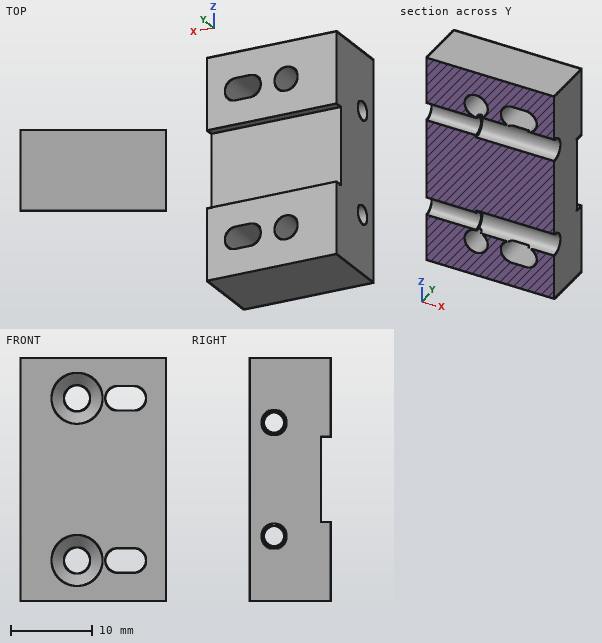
import cadquery as cq

width = 18.0
depth = 10.0
height = 30.0

mount_spacing = 20.0
screw_x = 7.0
screw_diameter = 3.2
countersink_diameter = 6.3
countersink_angle = 90.0
slot_x = 13.0
slot_length = 5.0
slot_height = 3.0

cross_spacing = 14.0
cross_from_front = 3.0
thread_diameter = 2.5
clearance_diameter = 3.1
clearance_start_x = 7.0

channel_height = 10.5
channel_depth = 1.2

mid_z = height / 2
mount_levels = [mid_z - mount_spacing / 2, mid_z + mount_spacing / 2]
cross_levels = [mid_z - cross_spacing / 2, mid_z + cross_spacing / 2]


def front_plane():
    """Work plane on the front face: local x is X, local y is Z, normal is -Y."""
    return cq.Workplane("XZ")


def cut_screw_holes(body):
    centers = [(screw_x, z) for z in mount_levels]
    return (
        body.copyWorkplane(front_plane())
        .pushPoints(centers)
        .cskHole(screw_diameter, countersink_diameter, countersink_angle)
    )


def cut_slots(body):
    centers = [(slot_x, z) for z in mount_levels]
    slots = front_plane().pushPoints(centers).slot2D(slot_length, slot_height).extrude(-depth)
    return body.cut(slots)


def cut_cross_holes(body):
    """Narrow holes through the whole width, widened on the +X side."""
    centers = [(cross_from_front, z) for z in cross_levels]
    thread_holes = (
        cq.Workplane("YZ").pushPoints(centers).circle(thread_diameter / 2).extrude(width)
    )
    clearance_holes = (
        cq.Workplane("YZ", origin=(clearance_start_x, 0, 0))
        .pushPoints(centers)
        .circle(clearance_diameter / 2)
        .extrude(width - clearance_start_x)
    )
    return body.cut(thread_holes).cut(clearance_holes)


def cut_back_channel(body):
    channel = cq.Workplane("XY").box(width, channel_depth, channel_height, centered=(False, False, True))
    return body.cut(channel.translate((0, depth - channel_depth, mid_z)))


block = cq.Workplane("XY").box(width, depth, height, centered=False)
block = cut_screw_holes(block)
block = cut_slots(block)
block = cut_cross_holes(block)
result = cut_back_channel(block)